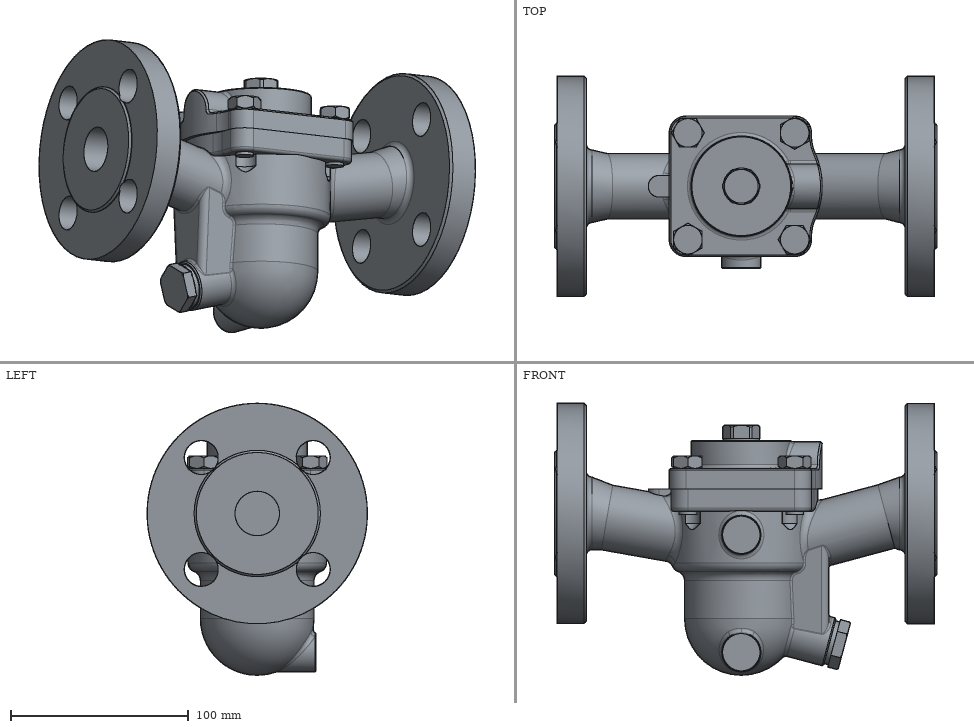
import cadquery as cq
import math


contact_tolerance = 0.01

inlet_face_x = -105.0
outlet_face_x = 110.0
flange_diameter = 124.0
flange_total = 18.0
raised_face_height = 1.5
raised_face_diameter = 71.0
raised_face_chamfer = 1.2
flange_chamfer = 1.4
flange_hole_diameter = 19.0
flange_hole_circle = 88.9
flange_hole_start_angle = 45.0
flange_hole_count = 4
port_bore_diameter = 25.0
port_bore_depth = 25.0

pipe_diameter = 37.0
neck_diameter = 41.0
neck_fillet = 3.0
inlet_slope = 10.0
outlet_slope = 15.0
inlet_neck_end = (-75.5, -2.3)
outlet_neck_end = (81.5, -1.7)
pipe_to_body_fillet = 5.0

upper_radius = 39.0
lower_radius = 32.0
shoulder_top_z = -27.7
shoulder_bottom_z = -37.7
dome_center_z = -59.0

joint_z = 13.8
joint_corner_radius = 9.5
bolt_spacing = 60.0
joint_width = bolt_spacing + 2 * joint_corner_radius
joint_bottom_z = 1.0
joint_bottom_fillet = 2.0
body_bulge_radius = 43.0
cover_bulge_radius = 45.5
bulge_blend = 24.0
cover_inlet_overhang = 1.1

pad_width = 12.2
pad_center_x = -46.2

side_boss_diameter = 22.0
side_boss_chamfer = 0.5
side_boss_fillet = 2.5
upper_boss_z = -12.0
upper_boss_end_y = -46.2
lower_boss_z = -78.0
lower_boss_end_y = -33.0

strainer_slope = 15.0
strainer_diameter = 28.0
strainer_length = 51.5
strainer_fillet = 2.5
strainer_end_chamfer = 0.8
rib_half_width = 13.5
rib_draft = 4.3
rib_top_z = -13.0
rib_bottom_z = -69.2
rib_end_x = 49.2
rib_corner_radius = 4.0
rib_fillet = 1.5
plug_neck_diameter = 25.0
plug_neck_length = 2.5
plug_across_flats = 24.0
plug_head_height = 6.0
plug_head_chamfer = 0.7

cover_plate_top_z = 25.4
cover_top_chamfer = 1.0
cap_diameter = 56.5
cap_top_z = 41.0
cap_chamfer = 0.5
cap_fillet = 2.0
cover_boss_diameter = 25.0
cover_boss_top_z = 40.4
cover_boss_fillet = 2.0
air_plug_across_flats = 19.0
air_plug_corner_diameter = 21.0
air_plug_top_z = 49.7
air_plug_neck_height = 1.2
air_plug_neck_diameter = 20.5
air_plug_chamfer = 1.0

bolt_across_flats = 16.0
bolt_head_height = 7.0
bolt_head_chamfer = 1.2
bolt_diameter = 10.0
bolt_end_z = -0.6
bolt_pocket_diameter = 14.0
bolt_pocket_bottom_z = -5.5
pocket_tip_angle = 90.0


def point_at(x, z):
    """Point in the middle plane Y = 0."""
    return cq.Vector(x, 0, z)


def cylinder(start, direction, diameter, length):
    """Solid cylinder from the centre of one end along the direction."""
    return cq.Workplane(obj=cq.Solid.makeCylinder(diameter / 2, length, start, direction))


def blend(base, addition, radius):
    """Join two solids and fillet the edges along which their surfaces meet."""
    joined = base.union(addition)
    base_skin = base.val().Shells()[0]
    addition_skin = addition.val().Shells()[0]
    meeting = []
    for edge in joined.edges().vals():
        middle = cq.Vertex.makeVertex(*edge.positionAt(0.5).toTuple())
        if max(middle.distance(base_skin), middle.distance(addition_skin)) < contact_tolerance:
            meeting.append(edge)
    return joined.newObject(meeting).fillet(radius)


def across_corners(across_flats):
    return across_flats / math.cos(math.pi / 6)


def hex_head(across_flats, height, corner_diameter, chamfer, turn, both_ends):
    """Hexagonal head standing on Z = 0 with its corners trimmed by a chamfered cylinder."""
    prism = cq.Workplane("XY").polygon(6, across_corners(across_flats)).extrude(height)
    prism = prism.rotate((0, 0, 0), (0, 0, 1), turn)
    trim = cq.Workplane("XY").circle(corner_diameter / 2).extrude(height)
    trim = trim.edges().chamfer(chamfer) if both_ends else trim.faces(">Z").edges().chamfer(chamfer)
    return prism.intersect(trim)


def pipe_flange(face_x, inward):
    """Drilled flange with raised face; inward is the X sense from its face to the valve body."""
    axis = cq.Vector(inward, 0, 0)
    raised = cylinder(point_at(face_x, 0), axis, raised_face_diameter, flange_total)
    raised = raised.faces("<X" if inward > 0 else ">X").edges().chamfer(raised_face_chamfer)
    disc_start = point_at(face_x + inward * raised_face_height, 0)
    disc = cylinder(disc_start, axis, flange_diameter, flange_total - raised_face_height)
    disc = disc.faces(">X" if inward > 0 else "<X").edges().chamfer(flange_chamfer)
    flange = disc.union(raised)
    for index in range(flange_hole_count):
        angle = math.radians(flange_hole_start_angle + index * 360 / flange_hole_count)
        offset_y = flange_hole_circle / 2 * math.cos(angle)
        offset_z = flange_hole_circle / 2 * math.sin(angle)
        hole_start = cq.Vector(face_x, offset_y, offset_z)
        flange = flange.cut(cylinder(hole_start, axis, flange_hole_diameter, flange_total))
    return flange


def pipe_with_flange(face_x, inward, slope, neck_end):
    """Flange, tapering neck and straight pipe sloping down to the body axis."""
    flange_back_x = face_x + inward * flange_total
    axis = cq.Vector(inward, 0, 0)
    tilt = math.radians(slope)
    pipe_direction = cq.Vector(inward * math.cos(tilt), 0, -math.sin(tilt))
    pipe_start = point_at(*neck_end)
    stub = cylinder(point_at(flange_back_x, 0), axis, neck_diameter, neck_fillet)
    neck_start = point_at(flange_back_x + inward * neck_fillet, 0)
    neck = cq.Solid.makeLoft([
        cq.Wire.makeCircle(neck_diameter / 2, neck_start, axis),
        cq.Wire.makeCircle(pipe_diameter / 2, pipe_start, pipe_direction),
    ])
    pipe_length = abs(neck_end[0]) / math.cos(tilt)
    pipe = cylinder(pipe_start, pipe_direction, pipe_diameter, pipe_length)
    flange = pipe_flange(face_x, inward).union(stub)
    neck_fillet_reach = neck_diameter / 2 + neck_fillet
    root = cq.selectors.BoxSelector(
        (flange_back_x - contact_tolerance, -neck_fillet_reach, -neck_fillet_reach),
        (flange_back_x + contact_tolerance, neck_fillet_reach, neck_fillet_reach),
        boundingbox=True,
    )
    flange = flange.edges(root).fillet(neck_fillet - contact_tolerance)
    return flange.union(cq.Workplane(obj=neck)).union(pipe)


def shell_core():
    """Revolved body: upper cylinder, S-shaped shoulder, lower cylinder and domed bottom."""
    step = upper_radius - lower_radius
    drop = shoulder_top_z - shoulder_bottom_z
    half_sweep = math.atan(step / drop)
    arc_radius = drop / 2 / math.sin(2 * half_sweep)
    bow = arc_radius * (1 - math.cos(half_sweep))
    sag = arc_radius * math.sin(half_sweep)
    middle = (lower_radius + step / 2, shoulder_top_z - drop / 2)
    diagonal = math.sqrt(0.5) * lower_radius
    profile = (
        cq.Workplane("XZ")
        .moveTo(0, joint_z)
        .lineTo(upper_radius, joint_z)
        .lineTo(upper_radius, shoulder_top_z)
        .threePointArc((upper_radius - bow, shoulder_top_z - sag), middle)
        .threePointArc((lower_radius + bow, shoulder_bottom_z + sag), (lower_radius, shoulder_bottom_z))
        .lineTo(lower_radius, dome_center_z)
        .threePointArc((diagonal, dome_center_z - diagonal), (0, dome_center_z - lower_radius))
        .close()
    )
    return profile.revolve(360, (0, 0, 0), (0, 1, 0)).rotate((0, 0, 0), (0, 0, 1), 90)


def joint_plate(bottom_z, top_z, bulge_radius, inlet_overhang):
    """Rounded square plate with a round bulge on the outlet side."""
    height = top_z - bottom_z
    square = cq.Workplane("XY").box(
        joint_width + inlet_overhang, joint_width, height, centered=(True, True, False)
    ).translate((-inlet_overhang / 2, 0, bottom_z))
    square = square.edges("|Z").fillet(joint_corner_radius)
    bulge = cq.Workplane("XY").workplane(offset=bottom_z).circle(bulge_radius).extrude(height)
    half = cq.Workplane("XY").box(
        joint_width, bolt_spacing, height, centered=(False, True, False)
    ).translate((0, 0, bottom_z))
    plate = square.union(bulge.intersect(half))
    meeting_y = math.sqrt(bulge_radius**2 - (joint_width / 2) ** 2)
    for y in (-meeting_y, meeting_y):
        corner = cq.selectors.NearestToPointSelector((joint_width / 2, y, bottom_z + height / 2))
        plate = plate.edges("|Z").edges(corner).fillet(bulge_blend)
    return plate


def bolt_positions():
    """Corners of the bolt square as X and Y."""
    half = bolt_spacing / 2
    return [(x, y) for x in (-half, half) for y in (-half, half)]


def side_boss(z, end_y):
    """Round boss from the body axis out to end_y."""
    boss = cylinder(cq.Vector(0, end_y, z), cq.Vector(0, 1, 0), side_boss_diameter, -end_y)
    return boss.faces("<Y").edges().chamfer(side_boss_chamfer)


strainer_tilt = math.radians(strainer_slope)
strainer_origin = point_at(0, dome_center_z)
strainer_axis = cq.Vector(math.cos(strainer_tilt), 0, -math.sin(strainer_tilt))


def strainer_boss():
    """Round boss pointing down toward +X from the dome centre."""
    boss = cylinder(strainer_origin, strainer_axis, strainer_diameter, strainer_length)
    return boss.faces(">X").edges().chamfer(strainer_end_chamfer)


def strainer_rib():
    """Upright block, narrowing downward, between the outlet pipe and the strainer boss."""
    rib_height = rib_top_z - rib_bottom_z
    top_half_width = rib_half_width + rib_height * math.tan(math.radians(rib_draft))
    section = [
        (-rib_half_width, rib_bottom_z),
        (rib_half_width, rib_bottom_z),
        (top_half_width, rib_top_z),
        (-top_half_width, rib_top_z),
    ]
    rib = cq.Workplane("YZ").polyline(section).close().extrude(rib_end_x)
    return rib.faces(">X").edges("not |Y").fillet(rib_corner_radius)


def inlet_pad():
    """Round-ended pad on top of the inlet pipe, level with the joint."""
    bottom_z = inlet_neck_end[1]
    height = joint_z - bottom_z
    round_end = cylinder(point_at(pad_center_x, bottom_z), cq.Vector(0, 0, 1), pad_width, height)
    web = cq.Workplane("XY").box(-pad_center_x, pad_width, height, centered=(False, True, False))
    return round_end.union(web.translate((pad_center_x, 0, bottom_z)))


def bolt_hole():
    """Close hole through the joint plate, widening below it into a pocket with a conical end."""
    radius = bolt_diameter / 2
    pocket_radius = bolt_pocket_diameter / 2
    tip = pocket_radius / math.tan(math.radians(pocket_tip_angle / 2))
    profile = (
        cq.Workplane("XZ")
        .moveTo(0, joint_z)
        .lineTo(radius, joint_z)
        .lineTo(radius, joint_bottom_z)
        .lineTo(pocket_radius, joint_bottom_z)
        .lineTo(pocket_radius, bolt_pocket_bottom_z)
        .lineTo(0, bolt_pocket_bottom_z - tip)
        .close()
    )
    return profile.revolve(360, (0, 0, 0), (0, 1, 0))


def make_body():
    """Flanged body with pipes, bosses and the lower joint plate."""
    inlet = pipe_with_flange(inlet_face_x, 1, inlet_slope, inlet_neck_end)
    outlet = pipe_with_flange(outlet_face_x, -1, outlet_slope, outlet_neck_end)
    body = shell_core()
    body = blend(body, side_boss(upper_boss_z, upper_boss_end_y), side_boss_fillet)
    body = blend(body, side_boss(lower_boss_z, lower_boss_end_y), side_boss_fillet)
    body = blend(body, inlet, pipe_to_body_fillet)
    body = blend(body, outlet, pipe_to_body_fillet)
    body = blend(body, strainer_boss(), strainer_fillet)
    body = blend(body, strainer_rib(), rib_fillet)
    plate = joint_plate(joint_bottom_z, joint_z, body_bulge_radius, 0)
    plate = plate.faces("<Z").edges().fillet(joint_bottom_fillet)
    body = body.union(plate).union(inlet_pad())
    for x, y in bolt_positions():
        body = body.cut(bolt_hole().translate((x, y, 0)))
    for face_x, inward in ((inlet_face_x, 1), (outlet_face_x, -1)):
        bore = cylinder(point_at(face_x, 0), cq.Vector(inward, 0, 0), port_bore_diameter, port_bore_depth)
        body = body.cut(bore)
    return body


def cover_bolt(x, y):
    """Hexagon bolt; diagonal neighbours are turned by a quarter turn."""
    turn = 0 if x * y < 0 else 90
    corners = across_corners(bolt_across_flats)
    head = hex_head(bolt_across_flats, bolt_head_height, corners, bolt_head_chamfer, turn, True)
    head = head.translate((x, y, cover_plate_top_z))
    shank_length = cover_plate_top_z - bolt_end_z
    shank = cylinder(cq.Vector(x, y, bolt_end_z), cq.Vector(0, 0, 1), bolt_diameter, shank_length)
    return head.union(shank)


def chamfer_rim(solid, outline, lowest_z, size):
    """Chamfer the edges at or above lowest_z that run along the upright walls of the outline."""
    walls = outline.faces("not (>Z or <Z)").vals()
    rim = []
    for edge in solid.edges().vals():
        points = [edge.positionAt(part) for part in (0.3, 0.6)]
        if min(point.z for point in points) < lowest_z - contact_tolerance:
            continue
        vertices = [cq.Vertex.makeVertex(*point.toTuple()) for point in points]
        if all(min(vertex.distance(wall) for wall in walls) < contact_tolerance for vertex in vertices):
            rim.append(edge)
    return solid.newObject(rim).chamfer(size)


def cap_edge_ring():
    """Ring of material that the chamfer takes off the top edge of the cap."""
    radius = cap_diameter / 2
    profile = (
        cq.Workplane("XZ")
        .moveTo(radius - cap_chamfer, cap_top_z)
        .lineTo(cover_bulge_radius, cap_top_z)
        .lineTo(cover_bulge_radius, cap_top_z - cap_chamfer)
        .lineTo(radius, cap_top_z - cap_chamfer)
        .close()
    )
    return profile.revolve(360, (0, 0, 0), (0, 1, 0))


def make_cover():
    """Bolted cover with its air plug and bolts."""
    up = cq.Vector(0, 0, 1)
    oversize = 2 * (cover_bulge_radius + joint_corner_radius)
    slab = cq.Workplane("XY").box(
        oversize, oversize, cover_plate_top_z - joint_z, centered=(True, True, False)
    ).translate((0, 0, joint_z))
    cap = cylinder(point_at(0, joint_z), up, cap_diameter, cap_top_z - joint_z)
    cap = cap.rotate((0, 0, 0), (0, 0, 1), 180)
    boss_z = cover_boss_top_z - cover_boss_diameter / 2
    boss = cylinder(point_at(0, boss_z), cq.Vector(1, 0, 0), cover_boss_diameter, oversize / 2)
    outline = joint_plate(joint_z, cap_top_z, cover_bulge_radius, cover_inlet_overhang)
    cover = blend(blend(slab, cap, cap_fillet), boss, cover_boss_fillet).intersect(outline)
    cover = chamfer_rim(cover, outline, cover_plate_top_z, cover_top_chamfer)
    cover = cover.cut(cap_edge_ring())

    air_plug_neck = cylinder(point_at(0, cap_top_z), up, air_plug_neck_diameter, air_plug_neck_height)
    air_plug_head_z = cap_top_z + air_plug_neck_height
    air_plug_head = hex_head(
        air_plug_across_flats, air_plug_top_z - air_plug_head_z,
        air_plug_corner_diameter, air_plug_chamfer, 0, False,
    ).translate((0, 0, air_plug_head_z))
    cover = cover.union(air_plug_neck).union(air_plug_head)
    for x, y in bolt_positions():
        cover = cover.union(cover_bolt(x, y))
    return cover


def make_strainer_plug():
    """Hexagon plug seated on the end of the strainer boss."""
    neck = cq.Workplane("XY").circle(plug_neck_diameter / 2).extrude(plug_neck_length)
    corners = across_corners(plug_across_flats)
    head = hex_head(plug_across_flats, plug_head_height, corners, plug_head_chamfer, 90, False)
    plug = neck.union(head.translate((0, 0, plug_neck_length)))
    seat = cq.Plane(strainer_origin + strainer_axis * strainer_length, (0, 1, 0), strainer_axis)
    return cq.Workplane(obj=plug.val().located(cq.Location(seat)))


body = make_body()
cover = make_cover()
strainer_plug = make_strainer_plug()

result = cq.Compound.makeCompound([body.val(), cover.val(), strainer_plug.val()])